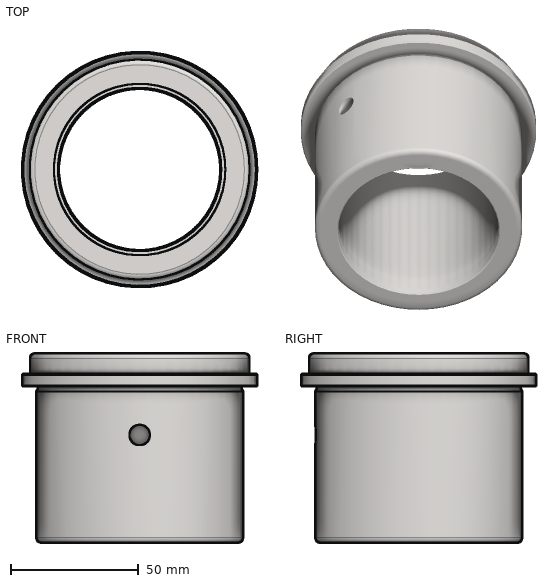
import cadquery as cq
import math

total_height = 74.0
bore_radius = 31.45
liner_outer_radius = 33.5
liner_chamfer = 0.5

barrel_radius = 40.5
collar_radius = 42.95
flange_radius = 46.0
flange_thickness = 5.15
collar_height = 7.9
flange_top = total_height - collar_height
flange_bottom = flange_top - flange_thickness

end_fillet = 2.0
flange_chamfer = 0.55
relief_height = 1.8
relief_depth = 0.6

hole_diameter = 8.0
hole_height = 42.1


def cylinder(radius, bottom, top):
    return cq.Workplane("XY").workplane(offset=bottom).circle(radius).extrude(top - bottom)


def make_relief_cutter():
    """Ring that leaves a concave relief under the flange, upright where it meets the flange."""
    arc_radius = (relief_height**2 + relief_depth**2) / (2 * relief_depth)
    half_angle = math.asin(relief_height / arc_radius) / 2
    neck_radius = barrel_radius - relief_depth
    arc_middle = (
        neck_radius + arc_radius * (1 - math.cos(half_angle)),
        flange_bottom - arc_radius * math.sin(half_angle),
    )
    return (
        cq.Workplane("XZ")
        .moveTo(neck_radius, flange_bottom)
        .threePointArc(arc_middle, (barrel_radius, flange_bottom - relief_height))
        .lineTo(barrel_radius, flange_bottom)
        .close()
        .revolve(360, (0, 0, 0), (0, 1, 0))
    )


def make_housing():
    """Flanged sleeve with a bore for the liner and one radial hole."""
    barrel = cylinder(barrel_radius, 0, flange_bottom).faces("<Z").edges().fillet(end_fillet)
    barrel = barrel.cut(make_relief_cutter())
    flange = cylinder(flange_radius, flange_bottom, flange_top).edges().chamfer(flange_chamfer)
    collar = cylinder(collar_radius, flange_top, total_height).faces(">Z").edges().fillet(end_fillet)
    radial_hole = (
        cq.Workplane("XZ")
        .center(0, hole_height)
        .circle(hole_diameter / 2)
        .extrude(flange_radius)
    )
    liner_bore = cylinder(liner_outer_radius, 0, total_height)
    return barrel.union(flange).union(collar).cut(liner_bore).cut(radial_hole)


def make_liner():
    """Tube flush with both housing ends, chamfered at the bore mouths."""
    tube = cylinder(liner_outer_radius, 0, total_height)
    tube = tube.cut(cylinder(bore_radius, 0, total_height))
    bore_edges = cq.selectors.RadiusNthSelector(0)
    return tube.edges("%CIRCLE").edges(bore_edges).chamfer(liner_chamfer)


housing = make_housing()
liner = make_liner()

result = cq.Compound.makeCompound([housing.val(), liner.val()])